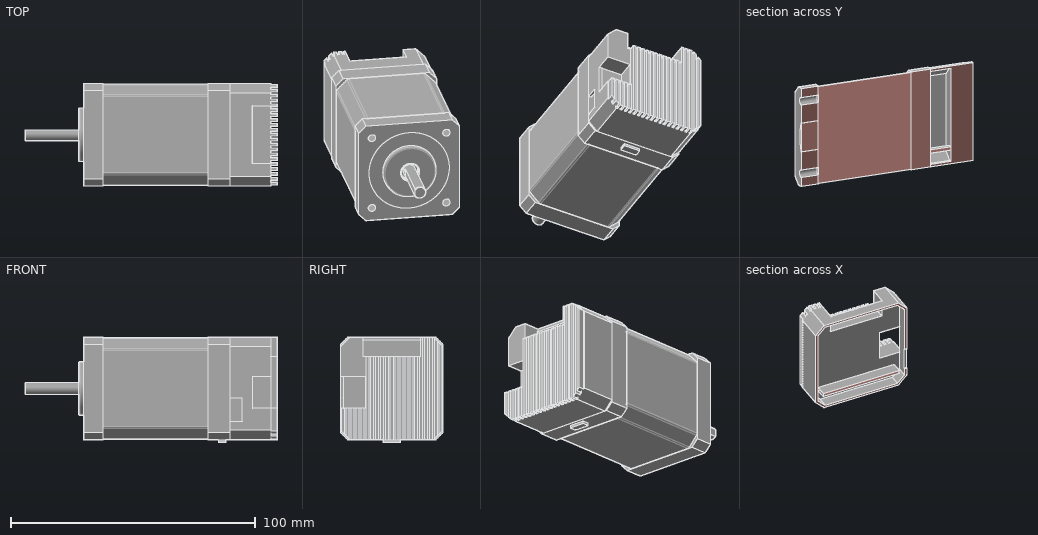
import cadquery as cq
import math

TOTAL_LENGTH = 103.2
CASE_WIDTH = 42.0
CASE_HALF = CASE_WIDTH / 2

BOSS_FRONT = 21.9
FRONT_FLANGE_START = 23.9
STATOR_START = 31.9
REAR_FLANGE_START = 74.7
COVER_START = 83.8
FIN_START = 100.5

FLANGE_CHAMFER = 3.0
SCREW_SPACING = 31.0
SCREW_HOLE_DIAMETER = 3.0

CAP_DIAMETER = 33.4
BOSS_DIAMETER = 22.0
BOSS_FILLET = 0.5
BOSS_RECESS_DIAMETER = 7.1
BOSS_RECESS_CHAMFER = 0.4

SHAFT_DIAMETER = 5.1
SHAFT_CHAMFER = 0.2
SHAFT_FLAT_OFFSET = 2.0

STATOR_WIDTH = 41.6
STATOR_CHAMFER = 4.7
STATOR_EDGE_FILLET = 1.2

COVER_CHAMFER = 3.9
COVER_WALL = 1.2
CAVITY_END = 93.0
TOP_NOTCH_OVERLAP = 0.2
TOP_NOTCH_HALF_WIDTH = 11.8
TOP_NOTCH_FLOOR = 13.1
SIDE_NOTCH_INNER_SIDE = -10.7
SIDE_NOTCH_TOP = 4.9
SIDE_NOTCH_FLOOR = -8.0
WINDOW_LENGTH = 5.0
WINDOW_TOP = -3.8
WINDOW_SILL = -13.4

FIN_COUNT = 21
FIN_PITCH = 2.0
FIN_THICKNESS = 1.2

BOARD_WIDTH = 34.9
BOARD_THICKNESS = 1.7
BOARD_TOP = -13.5

TAB_START = 79.0
TAB_LENGTH = 3.1
TAB_WIDTH = 7.1
TAB_HEIGHT = 1.0


def block(x_range, y_range, z_range):
    """Box between two limits along each axis."""
    spans = [high - low for low, high in (x_range, y_range, z_range)]
    return cq.Workplane("XY").box(*spans, centered=False).translate((x_range[0], y_range[0], z_range[0]))


def cylinder(diameter, start, end):
    """Cylinder on the motor axis."""
    return cq.Workplane("YZ", origin=(start, 0, 0)).circle(diameter / 2).extrude(end - start)


def chamfered_prism(width, chamfer, start, end):
    """Square bar along the motor axis with its four long edges cut at 45 degrees."""
    bar = cq.Workplane("YZ", origin=(start, 0, 0)).rect(width, width).extrude(end - start)
    return bar.edges("|X").chamfer(chamfer)


def make_shaft():
    """Round shaft with a flat on the +Y side of the part that stands out of the motor."""
    shaft = cylinder(SHAFT_DIAMETER, 0, STATOR_START).faces("<X").chamfer(SHAFT_CHAMFER)
    shaft_radius = SHAFT_DIAMETER / 2
    flat = block((0, BOSS_FRONT), (SHAFT_FLAT_OFFSET, shaft_radius), (-shaft_radius, shaft_radius))
    return shaft.cut(flat)


def make_bearing_cap():
    """Round cap with a boss in front, recessed around the shaft down to the flange face."""
    boss = cylinder(BOSS_DIAMETER, BOSS_FRONT, FRONT_FLANGE_START).faces("<X").edges().fillet(BOSS_FILLET)
    cap = boss.union(cylinder(CAP_DIAMETER, FRONT_FLANGE_START, STATOR_START))
    cap = cap.cut(cylinder(BOSS_RECESS_DIAMETER, BOSS_FRONT, FRONT_FLANGE_START))
    recess_edge = cap.faces("<X").edges(cq.selectors.RadiusNthSelector(0))
    cap = recess_edge.chamfer(BOSS_RECESS_CHAMFER)
    return cap.cut(cylinder(SHAFT_DIAMETER, BOSS_FRONT, STATOR_START))


def make_front_flange():
    flange = chamfered_prism(CASE_WIDTH, FLANGE_CHAMFER, FRONT_FLANGE_START, STATOR_START)
    screw_holes = (
        cq.Workplane("YZ", origin=(FRONT_FLANGE_START, 0, 0))
        .rect(SCREW_SPACING, SCREW_SPACING, forConstruction=True)
        .vertices()
        .circle(SCREW_HOLE_DIAMETER / 2)
        .extrude(STATOR_START - FRONT_FLANGE_START)
    )
    cap_seat = cylinder(CAP_DIAMETER, FRONT_FLANGE_START, STATOR_START)
    return flange.cut(screw_holes).cut(cap_seat)


def make_stator():
    stator = chamfered_prism(STATOR_WIDTH, STATOR_CHAMFER, STATOR_START, REAR_FLANGE_START)
    return stator.edges("|X").fillet(STATOR_EDGE_FILLET)


def make_rear_flange():
    return chamfered_prism(CASE_WIDTH, FLANGE_CHAMFER, REAR_FLANGE_START, COVER_START)


def make_fin_slots():
    """Gaps between the fins, and the clearance outside the first and last fin."""
    fin_gap = FIN_PITCH - FIN_THICKNESS
    slots = cq.Workplane("XY")
    for i in range(FIN_COUNT + 1):
        gap_start = (i - FIN_COUNT / 2) * FIN_PITCH - fin_gap / 2
        slots = slots.union(
            block((FIN_START, TOTAL_LENGTH), (gap_start, gap_start + fin_gap), (-CASE_HALF, CASE_HALF))
        )
    return slots


def make_cover():
    cover = chamfered_prism(CASE_WIDTH, COVER_CHAMFER, COVER_START, TOTAL_LENGTH)

    cavity_chamfer = COVER_CHAMFER - COVER_WALL * (2 - math.sqrt(2))
    cavity = chamfered_prism(CASE_WIDTH - 2 * COVER_WALL, cavity_chamfer, COVER_START, CAVITY_END)
    window = block(
        (COVER_START, COVER_START + WINDOW_LENGTH),
        (-CASE_HALF, -CASE_HALF + COVER_WALL),
        (WINDOW_SILL, WINDOW_TOP),
    )

    top_notch = block(
        (CAVITY_END - TOP_NOTCH_OVERLAP, TOTAL_LENGTH),
        (-TOP_NOTCH_HALF_WIDTH, TOP_NOTCH_HALF_WIDTH),
        (TOP_NOTCH_FLOOR, CASE_HALF),
    )
    side_notch = block(
        (CAVITY_END, TOTAL_LENGTH),
        (-CASE_HALF, SIDE_NOTCH_INNER_SIDE),
        (SIDE_NOTCH_FLOOR, SIDE_NOTCH_TOP),
    )

    finless_corner = block(
        (FIN_START, TOTAL_LENGTH),
        (-CASE_HALF, SIDE_NOTCH_INNER_SIDE),
        (SIDE_NOTCH_TOP, CASE_HALF),
    )
    for opening in (cavity, window, top_notch, side_notch, finless_corner, make_fin_slots()):
        cover = cover.cut(opening)
    return cover


def make_board():
    """Circuit board lying across the cover's cavity."""
    return block(
        (COVER_START, CAVITY_END),
        (-BOARD_WIDTH / 2, BOARD_WIDTH / 2),
        (BOARD_TOP - BOARD_THICKNESS, BOARD_TOP),
    )


def make_tab():
    return block(
        (TAB_START, TAB_START + TAB_LENGTH),
        (-TAB_WIDTH / 2, TAB_WIDTH / 2),
        (-CASE_HALF - TAB_HEIGHT, -CASE_HALF),
    )


shaft = make_shaft()
bearing_cap = make_bearing_cap()
front_flange = make_front_flange()
stator = make_stator()
rear_flange = make_rear_flange()
cover = make_cover()
board = make_board()
tab = make_tab()

result = cq.Compound.makeCompound(
    [
        shaft.val(),
        bearing_cap.val(),
        front_flange.val(),
        stator.val(),
        rear_flange.val(),
        cover.val(),
        board.val(),
        tab.val(),
    ]
)